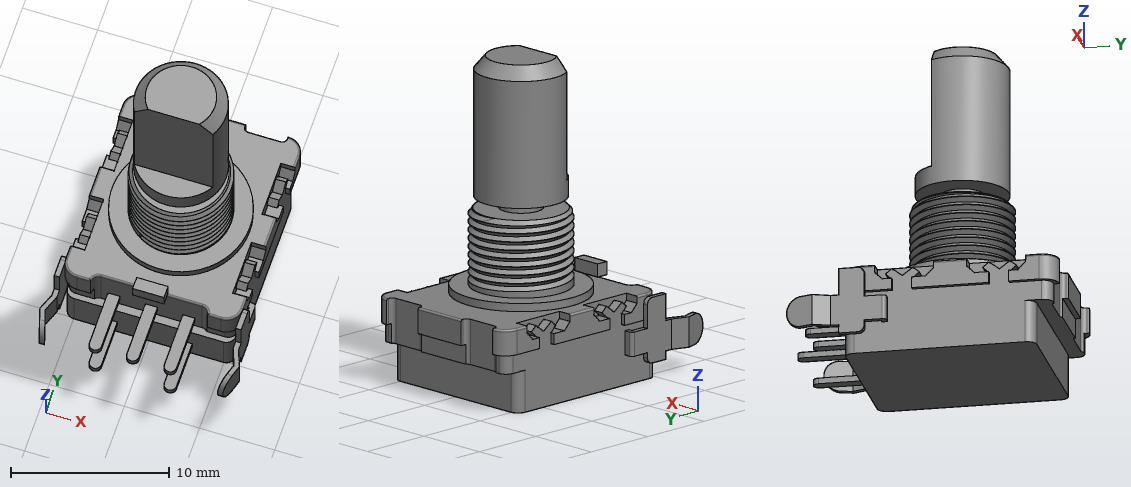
import cadquery as cq

base_top = 2.77
cover_bottom = 4.05
cover_top = 5.75
flange_top = 6.28
bushing_top = 11.3
neck_top = 12.08
flat_bottom = 13.31
shaft_top = 21.3

base_front_y = -6.52
deck_front_y = -6.13
cover_front_y = -6.48
base_back_y = 5.8
deck_back_y = 6.85
cover_back_y = 7.22
body_half_x = 5.6
cover_half_x = 5.88
body_corner = 0.64
cover_corner = 1.09
cover_edge = 0.13

recess_half_x = 3.88
recess_corner = 0.51
recess_wall_y = cover_front_y + recess_corner
notch_inner_x = 1.94
notch_outer_x = 4.77
notch_depth = 0.51
notch_corner = 0.35

flange_diameter = 9.15
bushing_diameter = 6.7
bushing_chamfer = 0.3
neck_diameter = 2.83
shaft_diameter = 6.0
shaft_flat_y = -1.5
tip_inset = 0.75
tip_height = 0.87

thread_turns = 9.2
thread_pitch = (bushing_top - flange_top) / thread_turns
thread_depth = 0.28
thread_width = 0.51
thread_start_angle = 238.0
thread_start_gap = 0.02
thread_overcut = 0.01

key_width = 2.09
key_back_y = -5.77
key_front_y = -6.6
key_top = 6.62

pocket_centers_y = (3.35, -2.6)
pocket_width = 3.81
pocket_floor = 4.77
pocket_chamfer = 0.51
pocket_wall_x = 4.92
tooth_centers_y = (3.51, -2.75)
tooth_neck_width = 1.3
tooth_half_width = 1.09
tooth_shoulder = 5.18
tooth_peak_y = 0.68
tooth_peak = 5.52
tooth_valley = 5.0

tip_y = -10.12

pin_spacing = 2.5
pin_width = 0.8
pin_thickness = 0.38
upper_pin_z = 3.58
lower_pin_z = 1.1
pin_embed = 0.43

leg_thickness = 0.36
leg_outer_x = 6.22
leg_back_y = -3.7
leg_bend = 0.23
leg_back_bottom = 1.98
leg_back_top = 3.58
plate_back_y = -5.1
plate_front_y = -6.73
plate_bottom = 1.21
plate_top = 5.54
plate_corner = 0.43
kink_start_y = -7.25
kink_peak_y = -8.35
kink_peak_x = 6.65
leg_tip_x = 6.11
prong_center_z = 2.77
prong_width = 2.0


def box(x_min, x_max, y_min, y_max, z_min, z_max):
    size = (x_max - x_min, y_max - y_min, z_max - z_min)
    return cq.Workplane("XY").box(*size, centered=False).translate((x_min, y_min, z_min))


def rounded_block(half_x, y_min, y_max, z_min, z_max, corner):
    """Block centred on X = 0 with rounded upright corners."""
    return box(-half_x, half_x, y_min, y_max, z_min, z_max).edges("|Z").fillet(corner)


def cylinder(diameter, z_min, z_max):
    return cq.Workplane("XY").workplane(offset=z_min).circle(diameter / 2).extrude(z_max - z_min)


def mirrored(solid):
    """A feature together with its mirror image across X = 0."""
    return solid.union(solid.mirror("YZ"))


def front_recess():
    """Recess in the middle of the front edge of the cover and deck, with rounded inner corners."""
    recess = box(
        -recess_half_x, recess_half_x,
        base_front_y - recess_corner, recess_wall_y,
        base_top, cover_top,
    )
    return recess.edges("|Z and >Y").fillet(recess_corner)


def back_notches():
    """Two round-bottomed notches in the back edge of the cover and deck."""
    floor_y = cover_back_y - notch_depth
    notch = box(notch_inner_x, notch_outer_x, floor_y, cover_back_y + notch_corner, base_top, cover_top)
    return mirrored(notch.edges("|Z and <Y").fillet(notch_corner))


def recessed_slab():
    """Oversized slab at cover height whose front recess has a rounded rim."""
    reach = 2 * cover_half_x
    slab = box(-reach, reach, cover_front_y - recess_corner / 2, reach, cover_bottom, cover_top)
    slab = slab.cut(front_recess())
    rim = cq.selectors.BoxSelector(
        (-recess_half_x - cover_edge, -reach, cover_top - cover_edge),
        (recess_half_x + cover_edge, recess_wall_y + cover_edge, cover_top + cover_edge),
    )
    return slab.faces(">Z").edges(rim).fillet(cover_edge)


def cover_block():
    """Cover with its top edge rounded around the outline and along the front recess."""
    cover = rounded_block(cover_half_x, cover_front_y, cover_back_y, cover_bottom, cover_top, cover_corner)
    cover = cover.faces(">Z").edges().fillet(cover_edge)
    return cover.intersect(recessed_slab()).cut(back_notches())


def body():
    """Lower base, deck and the wider cover on top."""
    base = rounded_block(body_half_x, base_front_y, base_back_y, 0, base_top, body_corner)
    deck = rounded_block(body_half_x, deck_front_y, deck_back_y, base_top, cover_bottom, body_corner)
    deck = deck.cut(front_recess()).cut(back_notches())
    return base.union(deck).union(cover_block())


def snap_pocket(center_y):
    """Open-topped pocket with sloped lower corners in the +X side of the cover."""
    half = pocket_width / 2
    pocket = box(pocket_wall_x, cover_half_x, center_y - half, center_y + half, pocket_floor, cover_top)
    return pocket.edges("|X and <Z").chamfer(pocket_chamfer)


def snap_slot(center_y):
    """Slot through the overhanging cover wall below a pocket."""
    half = tooth_neck_width / 2
    return box(body_half_x, cover_half_x, center_y - half, center_y + half, cover_bottom, cover_top)


def snap_tooth(center_y):
    """Barbed tooth with a V between its two peaks, flush with the body side."""
    neck = tooth_neck_width / 2
    half_outline = [
        (neck, pocket_floor),
        (tooth_half_width, tooth_shoulder),
        (tooth_peak_y, tooth_peak),
    ]
    other_half = [(-y, z) for y, z in reversed(half_outline)]
    outline = half_outline + [(0, tooth_valley)] + other_half
    tooth = cq.Workplane("YZ").polyline(outline).close().extrude(body_half_x - pocket_wall_x)
    return tooth.translate((pocket_wall_x, center_y, 0))


def bushing():
    """Bushing with a chamfered mouth and a thread that runs out through its top."""
    plain = cylinder(bushing_diameter, flange_top, bushing_top).faces(">Z").chamfer(bushing_chamfer)
    radius = bushing_diameter / 2
    half_width = thread_width / 2
    outer_half_width = half_width * (thread_depth + thread_overcut) / thread_depth
    groove_start_z = flange_top + thread_pitch / 2 + thread_start_gap
    groove_height = bushing_top - groove_start_z + thread_pitch
    path = cq.Wire.makeHelix(thread_pitch, groove_height, radius)
    groove = (
        cq.Workplane("XZ")
        .polyline([
            (radius - thread_depth, 0),
            (radius + thread_overcut, outer_half_width),
            (radius + thread_overcut, -outer_half_width),
        ])
        .close()
        .sweep(cq.Workplane(path), isFrenet=True)
        .rotate((0, 0, 0), (0, 0, 1), thread_start_angle)
        .translate((0, 0, groove_start_z))
    )
    blank = cylinder(bushing_diameter, flange_top, bushing_top + 2 * thread_pitch)
    return blank.cut(groove).intersect(plain)


def shaft():
    """Neck and D-shaft with a conical tip."""
    radius = shaft_diameter / 2
    tip_start = shaft_top - tip_height
    profile = [
        (0, neck_top),
        (radius, neck_top),
        (radius, tip_start),
        (radius - tip_inset, shaft_top),
        (0, shaft_top),
    ]
    rod = cq.Workplane("XZ").polyline(profile).close().revolve(360, (0, 0, 0), (0, 1, 0))
    flat = box(-radius, radius, -radius, shaft_flat_y, flat_bottom, shaft_top)
    neck = cylinder(neck_diameter, bushing_top, neck_top)
    return neck.union(rod.cut(flat))


def pin(center_x, center_z):
    """Flat contact pin with a full-round tip."""
    half = pin_width / 2
    root_y = recess_wall_y + pin_embed
    tip_start_y = tip_y + half
    outline = (
        cq.Workplane("XY")
        .moveTo(-half, root_y)
        .lineTo(-half, tip_start_y)
        .threePointArc((0, tip_y), (half, tip_start_y))
        .lineTo(half, root_y)
        .close()
    )
    return outline.extrude(pin_thickness).translate((center_x, 0, center_z - pin_thickness / 2))


def leg_side_shape():
    """Leg seen along X: back arm, upright plate and a round-ended prong."""
    x_min = body_half_x
    x_max = kink_peak_x
    arm = box(x_min, x_max, plate_front_y, leg_back_y, leg_back_bottom, leg_back_top)
    plate = box(x_min, x_max, plate_front_y, plate_back_y, plate_bottom, plate_top)
    plate = plate.edges("|X and >Y").fillet(plate_corner)
    prong_half = prong_width / 2
    round_start_y = tip_y + prong_half
    prong = (
        cq.Workplane("YZ")
        .moveTo(plate_front_y, prong_center_z - prong_half)
        .lineTo(round_start_y, prong_center_z - prong_half)
        .threePointArc((tip_y, prong_center_z), (round_start_y, prong_center_z + prong_half))
        .lineTo(plate_front_y, prong_center_z + prong_half)
        .close()
        .extrude(x_max - x_min)
        .translate((x_min, 0, 0))
    )
    return arm.union(plate).union(prong)


def leg():
    """Bent strip on the +X side: hooked into the body at the back, kinked at the front."""
    inner_x = leg_outer_x - leg_thickness
    hook_front_y = leg_back_y - leg_thickness
    plan = (
        cq.Workplane("XY")
        .moveTo(body_half_x, leg_back_y)
        .lineTo(leg_outer_x - leg_bend, leg_back_y)
        .radiusArc((leg_outer_x, leg_back_y - leg_bend), leg_bend)
        .lineTo(leg_outer_x, kink_start_y)
        .lineTo(kink_peak_x, kink_peak_y)
        .lineTo(leg_tip_x, tip_y)
        .lineTo(leg_tip_x - leg_thickness, tip_y)
        .lineTo(kink_peak_x - leg_thickness, kink_peak_y)
        .lineTo(inner_x, kink_start_y)
        .lineTo(inner_x, hook_front_y)
        .lineTo(body_half_x, hook_front_y)
        .close()
        .extrude(plate_top)
    )
    return plan.intersect(leg_side_shape())


part = body()

for pocket_y, tooth_y in zip(pocket_centers_y, tooth_centers_y):
    part = part.cut(mirrored(snap_pocket(pocket_y)))
    part = part.cut(mirrored(snap_slot(tooth_y)))
    part = part.union(mirrored(snap_tooth(tooth_y)))

part = part.union(cylinder(flange_diameter, cover_top, flange_top))
part = part.union(box(-key_width / 2, key_width / 2, key_front_y, key_back_y, cover_top, key_top))
part = part.union(bushing())
part = part.union(shaft())

for pin_x in (-pin_spacing, 0, pin_spacing):
    part = part.union(pin(pin_x, upper_pin_z))
for pin_x in (-pin_spacing, pin_spacing):
    part = part.union(pin(pin_x, lower_pin_z))

result = part.union(mirrored(leg()))